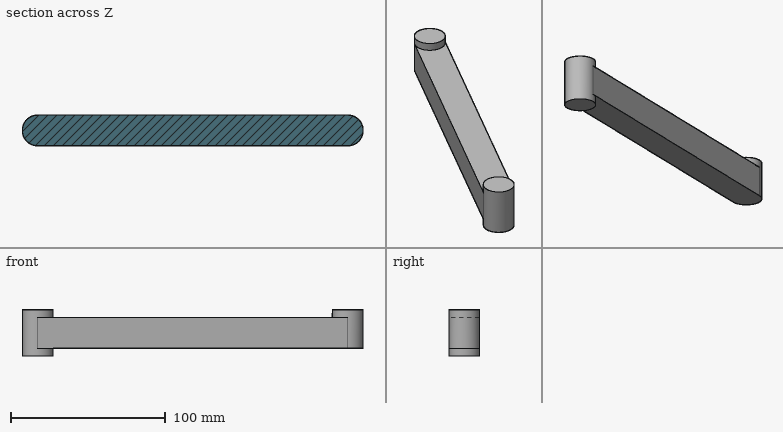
import cadquery as cq

overall_length = 220
pin_diameter = overall_length / 11
pin_overhang = pin_diameter / 4

bar_side = pin_diameter
pin_spacing = overall_length - pin_diameter
bar_top = bar_side / 2
bar_bottom = -bar_side / 2


def pin(x, bottom, top):
    """Upright cylinder on the bar centreline at the given X."""
    return (
        cq.Workplane("XY", origin=(x, 0, bottom))
        .circle(pin_diameter / 2)
        .extrude(top - bottom)
    )


bar = cq.Workplane("XY").box(pin_spacing, bar_side, bar_side)

left_pin = pin(-pin_spacing / 2, bar_bottom - pin_overhang, bar_top + pin_overhang)
right_pin = pin(pin_spacing / 2, bar_bottom, bar_top + pin_overhang)

result = bar.union(left_pin).union(right_pin)